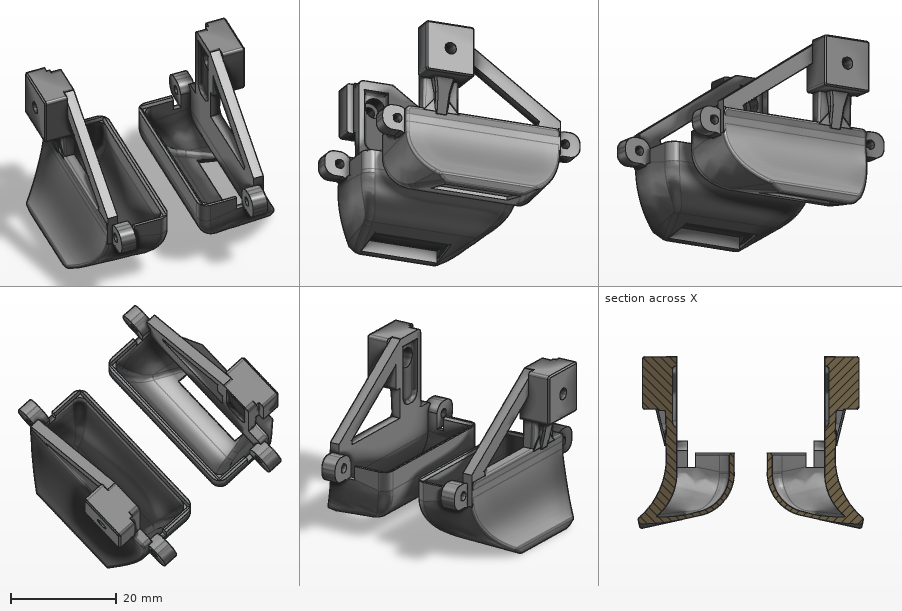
import cadquery as cq
import math


half_width = 16.0
wall = 1.0
inner_y = -3.1
plate_front_y = -16.05
plate_top_y = -16.25
plate_lean_z = 0.8
plate_back_y = -14.0
plate_top_z = 2.5
plate_corner = 1.0
rim_z = 0.25
rim_chamfer = 0.45
corner_radius = 2.0
cavity_corner_radius = 1.8
edge_round = 0.45
tip_round = 0.5

tip_y = -21.43
tip_top_z = -12.25
outlet_y = -21.0
bottom_z = -14.18
floor_angle = 12.4
floor_radius = 8.35
plate_bend_z = -0.75
plate_inner_bend_z = -3.6

outlet_left_x = -10.0
outlet_right_x = 6.2
left_slope = 45.0
right_slope = 30.0
left_inner_radius = 9.0
left_tip_radius = 14.0
right_inner_radius = 7.5
right_tip_radius = 15.0

opening_left_x = -9.6
opening_inner_y = -13.1
opening_outer_y = -19.6
opening_lip_z = -13.0

ear_end_x = 20.5
ear_height = 5.0
ear_inner_y = -12.0
ear_outer_y = -15.0
ear_corner = 2.1
ear_hole_x = 17.4
ear_hole_diameter = 1.8
ear_root_radius = 2.5
ear_flare = 0.35
ear_flare_length = 0.8
notch_y = -10.5

post_x = -8.85
post_width = 7.3
post_top_z = 18.5
post_corner = 1.0
post_brace_corner = 0.6
post_step_y = -16.65
post_front_y = -16.25
post_foot_y = -15.9
post_round = 0.45
block_size = 10.0
block_front_y = -20.57
block_round = 0.55
block_bevel = 0.3
screw_diameter = 2.3
bore_diameter = 4.0
bore_end_y = -17.6
slot_width = 5.0
slot_top_z = 16.7
slot_bottom_z = 4.4
slot_corner = 2.0
slot_round = 0.7
slot_depth = 0.85

rib_top_width = 4.2
rib_neck_width = 3.0
rib_bottom_width = 2.6
rib_chamfer = 0.35
rib_neck_z = 5.7
rib_bottom_z = 1.6
rib_top_y = -18.0
rib_bottom_y = -16.3
gusset_top_z = 4.5

brace_front_y = -16.0
brace_end_z = 4.0
brace_slope = 34.0
brace_drop = 3.6
brace_corner_x = 11.6
brace_foot_x = 11.3

post_left_x = post_x - post_width / 2
post_right_x = post_x + post_width / 2
cavity_half_width = half_width - wall
block_bottom_z = post_top_z - block_size
block_center_z = post_top_z - block_size / 2
block_left_x = post_x - block_size / 2
block_right_x = post_x + block_size / 2
ear_top_z = ear_height / 2


def box(x_range, y_range, z_range):
    """Box spanning the given (low, high) ranges."""
    size = [high - low for low, high in (x_range, y_range, z_range)]
    return cq.Workplane("XY").box(*size, centered=False).translate((x_range[0], y_range[0], z_range[0]))


def nearest(point):
    """Selector for the edge or face closest to a point."""
    return cq.selectors.NearestToPointSelector(point)


def prism_y(sketch, front_y, back_y):
    """Extrude an XZ sketch from back_y out to front_y, the more negative of the two."""
    return sketch.extrude(back_y - front_y).translate((0, back_y, 0))


def prism_x(sketch):
    """Extrude a YZ sketch across the full scoop width."""
    return sketch.extrude(half_width, both=True)


def floor_height(y):
    """Height of the sloping underside at a given Y."""
    return bottom_z + (y - outlet_y) * math.tan(math.radians(floor_angle))


def side_section(y, inset, left_radius, right_radius):
    """XZ outline at one Y: the sides curve inward to the ends of the outlet."""
    left_corner_z = bottom_z + (outlet_left_x + half_width) * math.tan(math.radians(left_slope))
    right_corner_z = bottom_z + (half_width - outlet_right_x) * math.tan(math.radians(right_slope))
    points = [
        (-half_width, plate_top_z + inset),
        (half_width, plate_top_z + inset),
        (half_width, right_corner_z),
        (outlet_right_x, bottom_z),
        (outlet_left_x, bottom_z),
        (-half_width, left_corner_z),
    ]
    sketch = cq.Workplane("XZ").polyline(points).close()
    if inset:
        sketch = sketch.offset2D(-inset)
    prism = prism_y(sketch, y - wall, y)
    for side_x, corner_z, radius in (
        (inset - half_width, left_corner_z, left_radius),
        (half_width - inset, right_corner_z, right_radius),
    ):
        corner = nearest((side_x, y, corner_z))
        prism = prism.edges("|Y").edges(corner).fillet(radius - inset)
    return prism.faces(">Y").wires().val()


def side_outline(inset):
    """Body along Y whose side curves widen towards the tip, inset from the outer skin."""
    sections = [
        side_section(inner_y + wall, inset, left_inner_radius, right_inner_radius),
        side_section(tip_y - wall, inset, left_tip_radius, right_tip_radius),
    ]
    return cq.Workplane(cq.Solid.makeLoft(sections, True))


def scoop_skin():
    """Solid outer shape of the scoop, its back plate included."""
    sketch = (
        cq.Workplane("YZ")
        .moveTo(inner_y, plate_top_z)
        .lineTo(plate_top_y, plate_top_z)
        .lineTo(plate_front_y, plate_lean_z)
        .lineTo(plate_front_y, plate_bend_z)
        .tangentArcPoint((tip_y, tip_top_z), relative=False)
        .lineTo(outlet_y, bottom_z)
        .lineTo(inner_y, floor_height(inner_y))
        .close()
    )
    floor_corner = nearest((0, inner_y, floor_height(inner_y)))
    skin = prism_x(sketch).edges("|X").edges(floor_corner).fillet(floor_radius)
    skin = skin.intersect(side_outline(0))
    skin = skin.edges("|Z and >Y").fillet(corner_radius)
    skin = skin.edges("|Y and >Z and <X").fillet(plate_corner)
    outer_faces = [
        nearest(point)
        for point in (
            (0, plate_top_y, (plate_lean_z + plate_top_z) / 2),
            (0, plate_front_y, (plate_lean_z + plate_bend_z) / 2),
            (0, (plate_front_y + tip_y) / 2, (plate_bend_z + tip_top_z) / 2),
        )
    ]
    outer_faces = outer_faces[0] + outer_faces[1] + outer_faces[2]
    skin = skin.faces(outer_faces).edges("(not |X) or >Z").fillet(edge_round)
    tip_edge = nearest((0, tip_y, tip_top_z))
    return skin.edges("|X").edges(tip_edge).fillet(tip_round)


def scoop_cavity():
    """Air passage, open at the top and narrowing above the outlet."""
    floor_y = inner_y - wall
    floor_rise = wall / math.cos(math.radians(floor_angle))
    sketch = (
        cq.Workplane("YZ")
        .moveTo(floor_y, plate_top_z + wall)
        .lineTo(plate_back_y, plate_top_z + wall)
        .lineTo(plate_back_y, plate_inner_bend_z)
        .tangentArcPoint((opening_outer_y, opening_lip_z), relative=False)
        .lineTo(opening_outer_y, floor_height(opening_outer_y) + floor_rise / 2)
        .lineTo(floor_y, floor_height(floor_y) + floor_rise)
        .close()
    )
    floor_corner = nearest((0, floor_y, floor_height(floor_y)))
    cavity = prism_x(sketch).edges("|X").edges(floor_corner).fillet(floor_radius - wall)
    cavity = cavity.intersect(side_outline(wall))
    corners = nearest((-cavity_half_width, floor_y, rim_z)) + nearest((cavity_half_width, floor_y, rim_z))
    return cavity.edges(corners).fillet(cavity_corner_radius)


def outlet_opening():
    """Slot through the underside, from the floor edge to the tip."""
    return box(
        (opening_left_x, outlet_right_x),
        (opening_outer_y, opening_inner_y),
        (bottom_z - wall, floor_height(opening_inner_y) + wall),
    )


def rim_chamfer_cutter():
    """Frustum that bevels the inner edge of the low rim."""
    opening_top_y = inner_y - wall + rim_chamfer
    return (
        cq.Workplane("XY", origin=(0, (opening_top_y + plate_back_y) / 2, rim_z))
        .rect(2 * (cavity_half_width + rim_chamfer), opening_top_y - plate_back_y)
        .extrude(-rim_chamfer, taper=45)
    )


def notch_cutter():
    """Gap in both side walls beside the plate, down to the underside of the ears."""
    return box((-half_width, half_width), (plate_back_y, notch_y), (-ear_top_z, rim_z))


def plate_end():
    """Square end of the plate below the foot of the brace."""
    return box(
        (half_width - edge_round, half_width), (plate_front_y, plate_back_y), (-ear_top_z, plate_top_z)
    )


def scoop():
    """Hollow scoop with its low rim and its wall notches."""
    body = scoop_skin()
    body = body.cut(box((-half_width, half_width), (plate_back_y, 0), (rim_z, plate_top_z)))
    body = body.cut(scoop_cavity()).cut(outlet_opening())
    return body.cut(rim_chamfer_cutter()).cut(notch_cutter()).union(plate_end())


def ears():
    """Two drilled ears, one on each side wall."""
    corner_x = ear_end_x - ear_corner
    corner_z = ear_top_z - ear_corner
    arc_offset = ear_corner * math.sqrt(0.5)
    root_run = ear_hole_x - cavity_half_width
    root_drop = ear_root_radius - math.sqrt(ear_root_radius**2 - root_run**2)
    sketch = (
        cq.Workplane("XZ")
        .moveTo(cavity_half_width, -ear_top_z - ear_flare)
        .lineTo(half_width, -ear_top_z - ear_flare)
        .lineTo(half_width + ear_flare_length, -ear_top_z)
        .lineTo(corner_x, -ear_top_z)
        .threePointArc((corner_x + arc_offset, -corner_z - arc_offset), (ear_end_x, -corner_z))
        .lineTo(ear_end_x, corner_z)
        .threePointArc((corner_x + arc_offset, corner_z + arc_offset), (corner_x, ear_top_z))
        .lineTo(ear_hole_x, ear_top_z)
        .tangentArcPoint((cavity_half_width, ear_top_z - root_drop), relative=False)
        .close()
    )
    ear = prism_y(sketch, ear_outer_y, ear_inner_y)
    hole = cq.Workplane("XZ").center(ear_hole_x, 0).circle(ear_hole_diameter / 2)
    ear = ear.cut(prism_y(hole, ear_outer_y, ear_inner_y))
    return ear.union(ear.mirror("YZ"))


def post():
    """Upright on the plate, thicker behind the block, with a rounded outer top corner."""
    foot = (
        cq.Workplane("YZ")
        .polyline([
            (plate_back_y, plate_lean_z),
            (post_foot_y, plate_lean_z),
            (post_front_y, block_bottom_z),
            (plate_back_y, block_bottom_z),
        ])
        .close()
        .extrude(post_width)
        .translate((post_left_x, 0, 0))
    )
    foot = foot.faces("<Y").edges("not |X").fillet(post_round)
    head = box((post_left_x, post_right_x), (post_step_y, plate_back_y), (block_bottom_z, post_top_z))
    head = head.edges("|Y and >Z and <X").fillet(post_corner)
    return foot.union(head.edges("|Y and >Z and >X").fillet(post_brace_corner))


def screw_block():
    """Square block on the front of the post; its brace side reaches back to the brace."""
    block = box(
        (block_left_x, block_right_x), (block_front_y, brace_front_y), (block_bottom_z, post_top_z)
    )
    block = block.edges("|Y").fillet(block_round).faces("<Y").edges().chamfer(block_bevel)
    return block.cut(
        box((block_left_x, post_left_x), (post_step_y, brace_front_y), (block_bottom_z, post_top_z))
    )


def brace():
    """Diagonal strut from the top of the post down to the far end of the plate."""
    slope = math.tan(math.radians(brace_slope))
    top_x = half_width - (post_top_z - brace_end_z) / slope

    def lower_edge(x):
        return brace_end_z + (half_width - x) * slope - brace_drop

    sketch = cq.Workplane("XZ").polyline([
        (top_x, post_top_z),
        (half_width, brace_end_z),
        (half_width, 0),
        (brace_foot_x, 0),
        (brace_foot_x, plate_top_z),
        (brace_corner_x, lower_edge(brace_corner_x)),
        (block_right_x, lower_edge(block_right_x)),
        (block_right_x, block_bottom_z),
        (top_x, block_bottom_z),
    ]).close()
    strut = prism_y(sketch, brace_front_y, plate_back_y)
    block_corner = nearest((block_right_x, brace_front_y, block_bottom_z))
    return strut.edges("|Y").edges(block_corner).fillet(block_round)


def rib():
    """Tapered rib that carries the block down onto the plate."""
    side = prism_x(
        cq.Workplane("YZ").polyline([
            (post_foot_y, rib_bottom_z),
            (rib_bottom_y, rib_bottom_z),
            (rib_top_y, block_bottom_z),
            (post_foot_y, block_bottom_z),
        ]).close()
    )
    half_outline = [
        (rib_bottom_width / 2, rib_bottom_z),
        (rib_neck_width / 2, rib_neck_z),
        (rib_top_width / 2, block_bottom_z),
    ]
    outline = [(post_x + x, z) for x, z in half_outline]
    outline += [(post_x - x, z) for x, z in reversed(half_outline)]
    front = prism_y(cq.Workplane("XZ").polyline(outline).close(), block_front_y, plate_back_y)
    body = side.intersect(front)
    return body.faces("<Y").edges("not |X").chamfer(rib_chamfer)


def gussets():
    """Triangular rise of the plate's front layer on both sides of the rib."""
    outline = [
        (post_left_x, plate_top_z - edge_round),
        (post_x - rib_neck_width / 2, gusset_top_z),
        (post_x + rib_neck_width / 2, gusset_top_z),
        (post_right_x, plate_top_z - edge_round),
    ]
    return prism_y(cq.Workplane("XZ").polyline(outline).close(), plate_top_y, plate_back_y)


def screw_cutter():
    """Screw hole, the wider bore behind it and the slot in the back of the post."""
    center = cq.Workplane("XZ").center(post_x, block_center_z)
    hole = prism_y(center.circle(screw_diameter / 2), block_front_y, plate_back_y)
    bore = prism_y(center.circle(bore_diameter / 2), bore_end_y, plate_back_y)
    slot = box(
        (post_x - slot_width / 2, post_x + slot_width / 2),
        (plate_back_y - slot_depth, plate_back_y),
        (slot_bottom_z, slot_top_z),
    )
    slot = slot.edges("|Y and <Z").fillet(slot_corner).faces("<Y").edges().fillet(slot_round)
    return hole.union(bore).union(slot)


def front_duct():
    body = scoop()
    for feature in (ears(), post(), screw_block(), brace(), rib(), gussets()):
        body = body.union(feature)
    return body.cut(screw_cutter())


def back_duct():
    return front_duct().mirror("XZ")


result = cq.Compound.makeCompound([front_duct().val(), back_duct().val()])